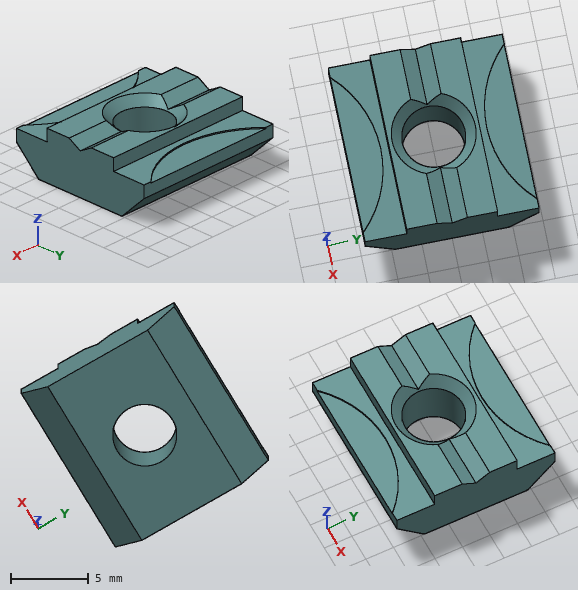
import cadquery as cq
import math

length = 12.0
width = 11.5
base_width = 7.5
rail_width = 6.0
height = 4.0
flange_top = 3.0
flange_thickness = 1.0
flange_bottom = flange_top - flange_thickness

groove_width = 2.0
groove_side_angle = 30.0
groove_depth = groove_width / 2 * math.tan(math.radians(groove_side_angle))

hole_diameter = 4.14
countersink_diameter = 5.5
countersink_depth = (countersink_diameter - hole_diameter) / 2

recess_radius = 7.5
recess_inner_edge = 3.5
recess_depth = 0.1


def make_body():
    """Symmetric T-nut section with the groove, extruded along its length."""
    half_section = [
        (base_width / 2, 0),
        (width / 2, flange_bottom),
        (width / 2, flange_top),
        (rail_width / 2, flange_top),
        (rail_width / 2, height),
        (groove_width / 2, height),
    ]
    groove_bottom = (0, height - groove_depth)
    mirrored = [(-y, z) for y, z in reversed(half_section)]
    section = half_section + [groove_bottom] + mirrored
    return cq.Workplane("YZ").polyline(section).close().extrude(length / 2, both=True)


def make_hole():
    """Cutter for the countersunk vertical hole."""
    hole_radius = hole_diameter / 2
    return (
        cq.Workplane("XZ")
        .moveTo(0, 0)
        .lineTo(hole_radius, 0)
        .lineTo(hole_radius, height - countersink_depth)
        .lineTo(countersink_diameter / 2, height)
        .lineTo(0, height)
        .close()
        .revolve(360, (0, 0, 0), (0, 1, 0))
    )


def make_recess(side):
    """Disc cutter for one flange; side is -1 or +1 along Y."""
    center_y = side * (recess_inner_edge + recess_radius)
    return (
        cq.Workplane("XY", origin=(0, center_y, flange_top - recess_depth))
        .circle(recess_radius)
        .extrude(recess_depth)
    )


result = make_body().cut(make_hole())
for side in (-1, 1):
    result = result.cut(make_recess(side))